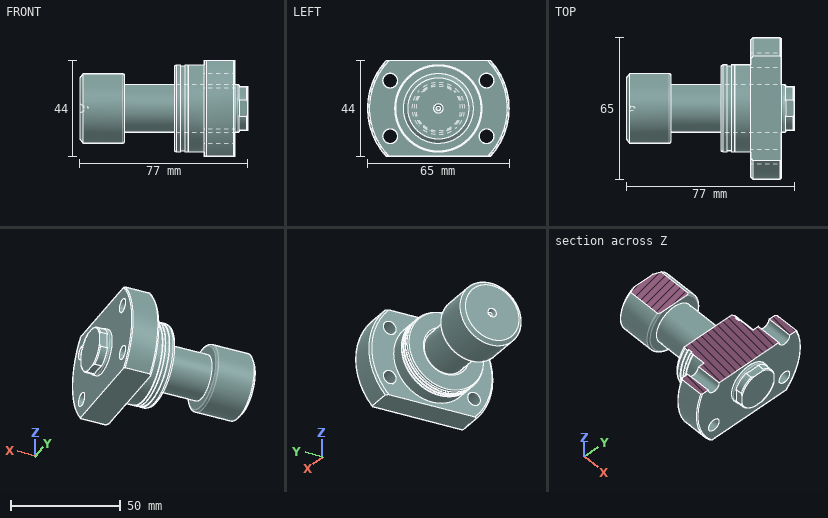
import cadquery as cq
import math


rod_length = 77.0
head_length = 20.5
collar_end_x = 73.2

head_radius = 16.0
shank_radius = 11.0
drive_radius = 10.7
drive_flat_width = 20.0
head_front_chamfer = (1.55, 2.0)
head_back_fillet = 1.0
collar_fillet = 1.0
drive_chamfer = (0.55, 0.4)

centre_mouth_radius = 2.15
centre_drill_radius = 1.0
centre_drill_length = 1.55
countersink_half_angle = math.radians(30)
drill_tip_half_angle = math.radians(60)

flange_start_x = 57.0
flange_thickness = 14.0
flange_radius = 32.5
flange_height = 44.0
flange_front_chamfer = 1.0
flange_back_chamfer = 0.5
bolt_circle_radius = 25.5
bolt_hole_diameter = 6.6
bolt_angles = (30, 150, 210, 330)

boss_start_x = 43.35
boss_radius = 20.0
boss_chamfer = (1.0, 0.5)
seal_groove_start_x = 46.1
seal_groove_width = 2.0
seal_groove_depth = 0.5
thin_groove_start_x = 49.6
thin_groove_width = 0.19
thin_groove_depth = 0.19

bore_countersink = 1.0

flange_end_x = flange_start_x + flange_thickness


def revolve_about_x(points):
    """Solid of revolution about the X axis from (x, radius) points."""
    return cq.Workplane("XY").polyline(points).close().revolve(360, (0, 0, 0), (1, 0, 0))


def turned_cylinder(start_x, end_x, radius, start_chamfer=(0, 0), end_chamfer=(0, 0)):
    """Cylinder along X; each chamfer is (length along X, radial drop)."""
    points = [(start_x, 0), (start_x, radius - start_chamfer[1])]
    if start_chamfer[0] > 0:
        points.append((start_x + start_chamfer[0], radius))
    if end_chamfer[0] > 0:
        points.append((end_x - end_chamfer[0], radius))
    points.append((end_x, radius - end_chamfer[1]))
    points.append((end_x, 0))
    return revolve_about_x(points)


def outer_groove(start_x, width, surface_radius, depth):
    """Ring to cut from a cylinder to leave a square groove."""
    outside = turned_cylinder(start_x, start_x + width, surface_radius + depth)
    return outside.cut(turned_cylinder(start_x, start_x + width, surface_radius - depth))


def centre_hole():
    """Countersunk centre hole with a conical drill tip."""
    countersink_depth = (centre_mouth_radius - centre_drill_radius) / math.tan(countersink_half_angle)
    drill_end_x = countersink_depth + centre_drill_length
    tip_x = drill_end_x + centre_drill_radius / math.tan(drill_tip_half_angle)
    return revolve_about_x([
        (0, 0),
        (0, centre_mouth_radius),
        (countersink_depth, centre_drill_radius),
        (drill_end_x, centre_drill_radius),
        (tip_x, 0),
    ])


def make_head():
    head = turned_cylinder(0, head_length, head_radius, start_chamfer=head_front_chamfer)
    return head.faces(">X").edges().fillet(head_back_fillet)


def make_shank():
    shank = turned_cylinder(head_length, collar_end_x, shank_radius)
    return shank.faces(">X").edges().fillet(collar_fillet)


def make_driving_end():
    """Round stub with four flats, facing +-Y and +-Z; it starts inside the shank's rounded end."""
    start_x = collar_end_x - collar_fillet
    stub = turned_cylinder(start_x, rod_length, drive_radius, end_chamfer=drive_chamfer)
    square = cq.Workplane("XY").box(2 * rod_length, drive_flat_width, drive_flat_width)
    return stub.intersect(square)


def make_rod():
    return make_head().union(make_shank()).union(make_driving_end()).cut(centre_hole())


def make_flange():
    """Chamfered disc with two flats and four bolt holes."""
    disc = turned_cylinder(
        flange_start_x,
        flange_end_x,
        flange_radius,
        (flange_front_chamfer, flange_front_chamfer),
        (flange_back_chamfer, flange_back_chamfer),
    )
    flats = cq.Workplane("XY").box(2 * rod_length, 2 * flange_radius, flange_height)
    flange = disc.intersect(flats)
    for angle in bolt_angles:
        y = bolt_circle_radius * math.cos(math.radians(angle))
        z = bolt_circle_radius * math.sin(math.radians(angle))
        hole = turned_cylinder(flange_start_x, flange_end_x, bolt_hole_diameter / 2)
        flange = flange.cut(hole.translate((0, y, z)))
    return flange


def make_boss():
    boss = turned_cylinder(boss_start_x, flange_start_x, boss_radius, boss_chamfer)
    seal_groove = outer_groove(seal_groove_start_x, seal_groove_width, boss_radius, seal_groove_depth)
    thin_groove = outer_groove(thin_groove_start_x, thin_groove_width, boss_radius, thin_groove_depth)
    return boss.cut(seal_groove).cut(thin_groove)


def make_bush():
    bore = turned_cylinder(boss_start_x, flange_end_x, shank_radius)
    countersink = revolve_about_x([
        (boss_start_x, 0),
        (boss_start_x, shank_radius + bore_countersink),
        (boss_start_x + bore_countersink, shank_radius),
        (boss_start_x + bore_countersink, 0),
    ])
    return make_boss().union(make_flange()).cut(bore).cut(countersink)


rod = make_rod()
bush = make_bush()

result = cq.Compound.makeCompound([rod.val(), bush.val()])